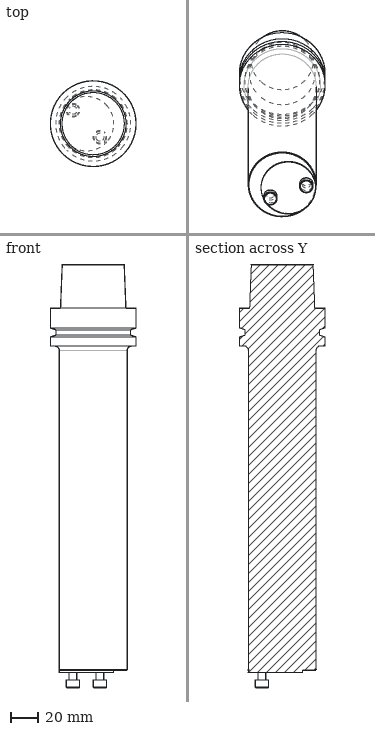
import cadquery as cq
import math

total_height = 311.0

shank_top_diameter = 45.7
shank_base_diameter = 48.2
shank_length = 32.0

flange_diameter = 63.0
flange_height = 28.0
groove_diameter = 55.0
groove_floor_width = 3.7
groove_top_drop = 14.5
groove_depth = (flange_diameter - groove_diameter) / 2
groove_flare = 1.4

body_diameter = 50.0
body_bottom = 12.8
body_chamfer = 0.5
neck_fillet_radius = 3.0

disc_diameter = 40.0
disc_thickness = 1.5
disc_bottom = body_bottom - disc_thickness
disc_offset_x = (disc_diameter - body_diameter) / 2

screw_circle_diameter = 28.0
screw_offset = screw_circle_diameter / 2 * math.sin(math.radians(45))
screw_shank_diameter = 6.0
screw_head_diameter = 10.0
screw_head_height = 6.0
screw_head_chamfer = 0.5

flange_top = total_height - shank_length
groove_top = flange_top - groove_top_drop
groove_floor_top = groove_top - groove_flare
groove_floor_bottom = groove_floor_top - groove_floor_width
groove_bottom = groove_floor_bottom - groove_flare
neck_top = flange_top - flange_height


def turned_holder():
    """Shank, flange and body as one revolved profile."""
    flange_radius = flange_diameter / 2
    groove_radius = flange_radius - groove_depth
    body_radius = body_diameter / 2
    fillet_sag = neck_fillet_radius * (1 - math.sin(math.radians(45)))
    profile = (
        cq.Workplane("XZ")
        .moveTo(0, body_bottom)
        .lineTo(body_radius - body_chamfer, body_bottom)
        .lineTo(body_radius, body_bottom + body_chamfer)
        .lineTo(body_radius, neck_top - neck_fillet_radius)
        .threePointArc(
            (body_radius + fillet_sag, neck_top - fillet_sag),
            (body_radius + neck_fillet_radius, neck_top),
        )
        .lineTo(flange_radius, neck_top)
        .lineTo(flange_radius, groove_bottom)
        .lineTo(groove_radius, groove_floor_bottom)
        .lineTo(groove_radius, groove_floor_top)
        .lineTo(flange_radius, groove_top)
        .lineTo(flange_radius, flange_top)
        .lineTo(shank_base_diameter / 2, flange_top)
        .lineTo(shank_top_diameter / 2, total_height)
        .lineTo(0, total_height)
        .close()
    )
    return profile.revolve(360, (0, 0), (0, 1))


def locating_disc():
    """Eccentric disc against the lower end of the body."""
    plane = cq.Workplane("XY", origin=(disc_offset_x, 0, disc_bottom))
    return plane.circle(disc_diameter / 2).extrude(disc_thickness)


def headed_screw():
    """Screw on the Z axis, head down, reaching up to the disc."""
    head = cq.Workplane("XY").circle(screw_head_diameter / 2).extrude(screw_head_height)
    head = head.faces("<Z").chamfer(screw_head_chamfer)
    shank = cq.Workplane("XY").circle(screw_shank_diameter / 2).extrude(disc_bottom)
    return head.union(shank)


result = turned_holder().union(locating_disc())
for side in (-1, 1):
    screw_x = disc_offset_x + side * screw_offset
    screw_y = -side * screw_offset
    result = result.union(headed_screw().translate((screw_x, screw_y, 0)))